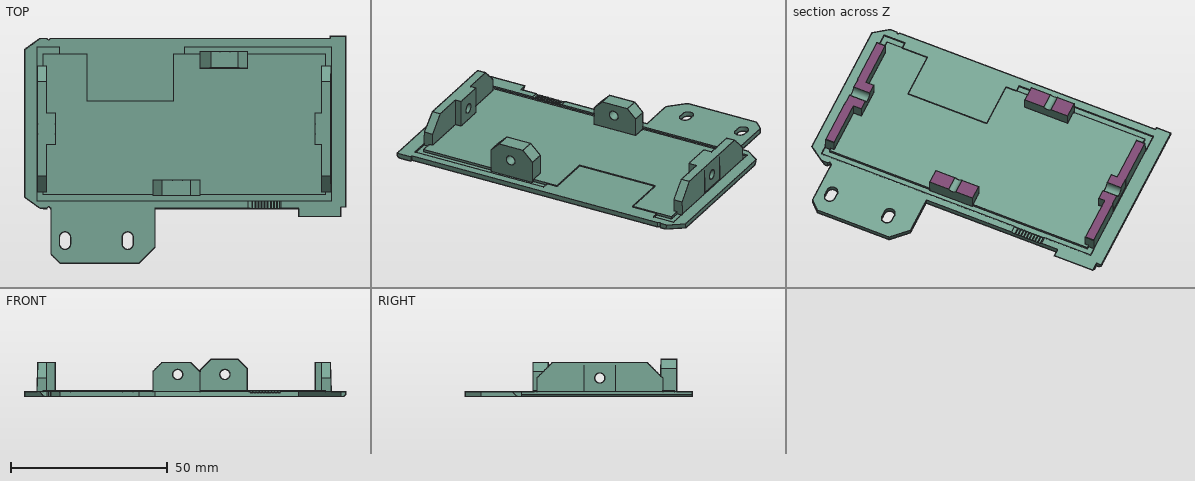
import cadquery as cq

LENGTH = 102.6
DEPTH = 72.5
PLATE_TOP = 1.6
SOUTH_EDGE = 17.6
SOUTH_DRAFT = 0.2
NORTH_EDGE = 71.8
CORNER_X = 4.8
CORNER_Y = 3.5
SOUTH_CORNER_UNDERCUT = 0.8
NORTH_CORNER_UNDERCUT = 0.3
RIGHT_CHAMFER = 0.7
NORTH_TAB_START = 97.6
V_NOTCH_X = 7.7
V_NOTCH_WIDTH = 1.1
V_NOTCH_DEPTH = 0.5

TAB_LEFT = 87.5
TAB_RIGHT = 101.0
TAB_SOUTH = 15.0
TAB_ROOT = 18.0

BRACKET_LEFT = 8.4
BRACKET_RIGHT = 41.7
BRACKET_LEFT_CUT = 3.0
BRACKET_RIGHT_CUT = 5.1
SLOT_XS = (12.9, 32.9)
SLOT_Y = 7.3
SLOT_LENGTH = 5.5
SLOT_WIDTH = 3.5

GROOVE_LEFT, GROOVE_RIGHT = 3.9, 98.0
GROOVE_SOUTH, GROOVE_NORTH = 20.0, 69.2
GROOVE_DEPTH = 0.5
GROOVE_GAP = (11.2, 51.1)
PANEL_LEFT, PANEL_RIGHT = 5.8, 96.0
PANEL_SOUTH, PANEL_NORTH = 22.0, 66.9
PANEL_RISE = 0.3
PANEL_NOTCH = (20.0, 47.5)
PANEL_NOTCH_Y = 51.8

GRIP_COUNT = 10
GRIP_START = 71.4
GRIP_PITCH = 0.98
GRIP_WIDTH = 1.6
GRIP_VALLEY = 1.1
GRIP_DEPTH = 0.4

HOLE_DIAMETER = 3.2
WALL_TOP = 11.0
WALL_SOUTH, WALL_NORTH = 22.9, 63.1
WALL_CUT = 5.0
WALL_THICKNESS = 3.1
WALL_DRAFT = 0.3
WALL_HOLE_Z = 6.0
PAD_WIDTH = 10.0
LEFT_PAD_DEPTH = 2.7
RIGHT_PAD_DEPTH = 2.0
RECESS_TOP = 10.0
LUG_WIDTH = 15.1
LUG_HOLE_Z = 7.1
LUG_CUT = 3.0
SOUTH_LUG_LEFT = 40.9
SOUTH_LUG_Y = (21.6, 26.6)
NORTH_LUG_Y = (62.3, 67.6)
NORTH_LUG_TOP = 12.0
NORTH_LUG_LEFT_CUT = 3.5
NORTH_LUG_DRAFT = 0.2
LUG_HOLE_OFFSET = 0.4

GROOVE_FLOOR = PLATE_TOP - GROOVE_DEPTH
CLEARANCE = 0.5
WALL_Y = (WALL_SOUTH + WALL_NORTH) / 2


def box(x0, x1, y0, y1, z0, z1):
    return cq.Workplane("XY").box(x1 - x0, y1 - y0, z1 - z0, centered=False).translate((x0, y0, z0))


def prism_along_x(points, x0, x1):
    """Extrude a (Y, Z) outline from x0 to x1."""
    return cq.Workplane("YZ").workplane(offset=x0).polyline(points).close().extrude(x1 - x0)


def prism_along_y(points, y0, y1):
    """Extrude an (X, Z) outline from y0 to y1."""
    return cq.Workplane("XZ").workplane(offset=-y1).polyline(points).close().extrude(y1 - y0)


def corner_cut(edge_y, inward, undercut):
    """Wedge removing a left corner; inward is +1 at the south edge and -1 at the north edge."""
    run = CORNER_X / CORNER_Y

    def triangle(grow):
        side_y = CORNER_Y + grow
        return [
            (-CLEARANCE * run, edge_y + inward * (side_y + CLEARANCE)),
            ((side_y + CLEARANCE) * run, edge_y - inward * CLEARANCE),
            (-CLEARANCE * run, edge_y - inward * CLEARANCE),
        ]

    wedge = cq.Workplane("XY").polyline(triangle(undercut)).close()
    wedge = wedge.workplane(offset=PLATE_TOP).polyline(triangle(0)).close()
    return wedge.loft(ruled=True)


def v_notch(edge_y, inward):
    """Small V cut into the south (inward = +1) or north (inward = -1) edge."""
    half = V_NOTCH_WIDTH / 2
    outline = [
        (V_NOTCH_X - half, edge_y - inward * CLEARANCE),
        (V_NOTCH_X - half, edge_y),
        (V_NOTCH_X, edge_y + inward * V_NOTCH_DEPTH),
        (V_NOTCH_X + half, edge_y),
        (V_NOTCH_X + half, edge_y - inward * CLEARANCE),
    ]
    return cq.Workplane("XY").polyline(outline).close().extrude(PLATE_TOP)


def make_plate():
    body_section = [
        (SOUTH_EDGE - SOUTH_DRAFT, 0),
        (NORTH_EDGE, 0),
        (NORTH_EDGE, PLATE_TOP),
        (SOUTH_EDGE, PLATE_TOP),
    ]
    plate = prism_along_x(body_section, 0, TAB_RIGHT)
    plate = plate.cut(corner_cut(SOUTH_EDGE, 1, SOUTH_CORNER_UNDERCUT))
    plate = plate.cut(corner_cut(NORTH_EDGE, -1, NORTH_CORNER_UNDERCUT))
    plate = plate.cut(v_notch(SOUTH_EDGE, 1)).cut(v_notch(NORTH_EDGE, -1))
    right_end = box(NORTH_TAB_START, LENGTH, TAB_ROOT, DEPTH, 0, PLATE_TOP)
    right_end = right_end.edges(">X and <Z").chamfer(RIGHT_CHAMFER)
    tab_section = [
        (TAB_SOUTH, PLATE_TOP),
        (TAB_SOUTH + PLATE_TOP, 0),
        (TAB_ROOT, 0),
        (TAB_ROOT, PLATE_TOP),
    ]
    return plate.union(right_end).union(prism_along_x(tab_section, TAB_LEFT, TAB_RIGHT))


def make_bracket():
    outline = [
        (BRACKET_LEFT, BRACKET_LEFT_CUT),
        (BRACKET_LEFT + BRACKET_LEFT_CUT, 0),
        (BRACKET_RIGHT - BRACKET_RIGHT_CUT, 0),
        (BRACKET_RIGHT, BRACKET_RIGHT_CUT),
        (BRACKET_RIGHT, SOUTH_EDGE),
        (BRACKET_LEFT, SOUTH_EDGE),
    ]
    bracket = cq.Workplane("XY").polyline(outline).close().extrude(PLATE_TOP)
    slots = cq.Workplane("XY").pushPoints([(x, SLOT_Y) for x in SLOT_XS])
    return bracket.cut(slots.slot2D(SLOT_LENGTH, SLOT_WIDTH, 90).extrude(PLATE_TOP))


def make_groove():
    """Cutter for the shallow ring around the panel."""
    groove = box(GROOVE_LEFT, GROOVE_RIGHT, GROOVE_SOUTH, GROOVE_NORTH, GROOVE_FLOOR, PLATE_TOP)
    groove = groove.cut(box(PANEL_LEFT, PANEL_RIGHT, PANEL_SOUTH, PANEL_NORTH, 0, PLATE_TOP))
    return groove.cut(box(*GROOVE_GAP, PANEL_NORTH, GROOVE_NORTH, 0, PLATE_TOP))


def make_panel():
    top = PLATE_TOP + PANEL_RISE
    panel = box(PANEL_LEFT, PANEL_RIGHT, PANEL_SOUTH, PANEL_NORTH, GROOVE_FLOOR, top)
    return panel.cut(box(*PANEL_NOTCH, PANEL_NOTCH_Y, PANEL_NORTH, PLATE_TOP, top))


def make_grip():
    """Cutter for the row of V grooves between the south edge and the ring."""
    grip = cq.Workplane("XY")
    for i in range(GRIP_COUNT):
        x = GRIP_START + i * GRIP_PITCH
        v_groove = [
            (x, PLATE_TOP),
            (x + GRIP_VALLEY, PLATE_TOP - GRIP_DEPTH),
            (x + GRIP_WIDTH, PLATE_TOP),
        ]
        grip = grip.union(prism_along_y(v_groove, SOUTH_EDGE - SOUTH_DRAFT, GROOVE_SOUTH))
    return grip


def make_wall(outer_x, inward, pad_depth):
    """End wall with a leaning outer face; inward is the X direction towards the panel."""
    inner_x = outer_x + inward * WALL_THICKNESS
    pad_x = inner_x + inward * pad_depth
    slope = WALL_DRAFT / (WALL_TOP - GROOVE_FLOOR)
    recess_x = outer_x + inward * slope * (RECESS_TOP - GROOVE_FLOOR)

    side_outline = [
        (WALL_SOUTH, GROOVE_FLOOR),
        (WALL_NORTH, GROOVE_FLOOR),
        (WALL_NORTH, WALL_TOP - WALL_CUT),
        (WALL_NORTH - WALL_CUT, WALL_TOP),
        (WALL_SOUTH + WALL_CUT, WALL_TOP),
        (WALL_SOUTH, WALL_TOP - WALL_CUT),
    ]
    section = [
        (outer_x, GROOVE_FLOOR),
        (inner_x, GROOVE_FLOOR),
        (inner_x, WALL_TOP),
        (outer_x + inward * WALL_DRAFT, WALL_TOP),
    ]
    wall = prism_along_x(side_outline, min(outer_x, inner_x), max(outer_x, inner_x))
    wall = wall.intersect(prism_along_y(section, WALL_SOUTH, WALL_NORTH))

    pad_y = (WALL_Y - PAD_WIDTH / 2, WALL_Y + PAD_WIDTH / 2)
    wall = wall.union(box(min(inner_x, pad_x), max(inner_x, pad_x), *pad_y, GROOVE_FLOOR, WALL_TOP))
    recess = box(min(outer_x, recess_x), max(outer_x, recess_x), *pad_y, PLATE_TOP, RECESS_TOP)
    hole = cq.Workplane("YZ").center(WALL_Y, WALL_HOLE_Z).circle(HOLE_DIAMETER / 2)
    return wall.cut(recess).cut(hole.extrude(LENGTH))


def make_lug(left, y_range, top, left_cut, draft):
    """Drilled lug with cut upper corners and a south face that leans by draft."""
    right = left + LUG_WIDTH
    south, north = y_range
    outline = [
        (left, GROOVE_FLOOR),
        (right, GROOVE_FLOOR),
        (right, top - LUG_CUT),
        (right - LUG_CUT, top),
        (left + left_cut, top),
        (left, top - left_cut),
    ]
    section = [
        (south, GROOVE_FLOOR),
        (north, GROOVE_FLOOR),
        (north, top),
        (south + draft, top),
    ]
    lug = prism_along_y(outline, south, north).intersect(prism_along_x(section, left, right))
    hole_x = left + LUG_WIDTH / 2 + LUG_HOLE_OFFSET
    hole = cq.Workplane("XZ").center(hole_x, LUG_HOLE_Z).circle(HOLE_DIAMETER / 2)
    return lug.cut(hole.extrude(-DEPTH))


result = make_plate().union(make_bracket()).cut(make_groove()).union(make_panel()).cut(make_grip())
result = result.union(make_wall(GROOVE_LEFT, 1, LEFT_PAD_DEPTH))
result = result.union(make_wall(GROOVE_RIGHT, -1, RIGHT_PAD_DEPTH))
result = result.union(make_lug(SOUTH_LUG_LEFT, SOUTH_LUG_Y, WALL_TOP, LUG_CUT, 0))
north_lug_left = SOUTH_LUG_LEFT + LUG_WIDTH
result = result.union(
    make_lug(north_lug_left, NORTH_LUG_Y, NORTH_LUG_TOP, NORTH_LUG_LEFT_CUT, NORTH_LUG_DRAFT)
)